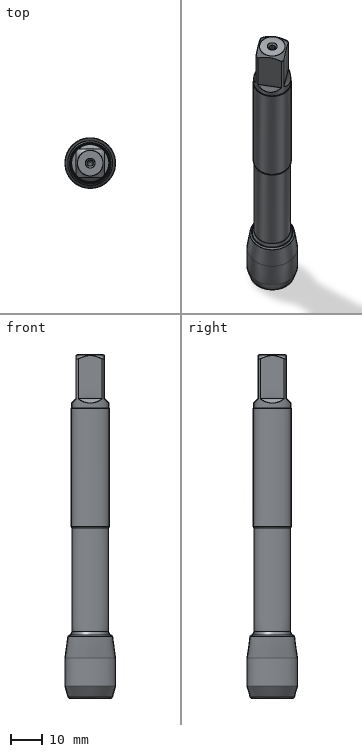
import cadquery as cq

total_length = 110.0

head_radius = 16.17 / 2
head_length = 20.3
nose_radius = 6.5
nose_rim_radius = 7.1
nose_rim_height = 0.5
land_bottom = 4.0
land_top = 13.0
back_rim_radius = 7.15
back_rim_height = 19.9
back_face_radius = 6.6

root_radius = 6.4
neck_radius = 11.7 / 2
neck_bottom = 21.4
guide_radius = 12.19 / 2
guide_bottom = 54.5
guide_chamfer_length = 0.6
guide_top = 92.75
drive_radius = 11.89 / 2

square_width = 9.1
flat_bottom = 95.9
flat_runout = drive_radius - square_width / 2
tip_radius = 4.1
tip_chamfer_length = 1.4

centre_hole_radius = 2.0 / 2
centre_hole_depth = 4.0
countersink_radius = 1.55


def make_head():
    """Revolved working head with a lead taper and a tapered, chamfered back."""
    profile = (
        cq.Workplane("XZ")
        .lineTo(nose_radius, 0)
        .lineTo(nose_rim_radius, nose_rim_height)
        .lineTo(head_radius, land_bottom)
        .lineTo(head_radius, land_top)
        .lineTo(back_rim_radius, back_rim_height)
        .lineTo(back_face_radius, head_length)
        .lineTo(0, head_length)
        .close()
    )
    return profile.revolve(360, (0, 0, 0), (0, 1, 0))


def make_shank_blank():
    """Revolved shank from the back of the head up to the drive tip."""
    chamfer_inner_top = guide_top + guide_radius - drive_radius
    profile = (
        cq.Workplane("XZ")
        .moveTo(0, head_length)
        .lineTo(root_radius, head_length)
        .lineTo(neck_radius, neck_bottom)
        .lineTo(neck_radius, guide_bottom)
        .lineTo(guide_radius, guide_bottom + guide_chamfer_length)
        .lineTo(guide_radius, guide_top)
        .lineTo(drive_radius, chamfer_inner_top)
        .lineTo(drive_radius, total_length - tip_chamfer_length)
        .lineTo(tip_radius, total_length)
        .lineTo(0, total_length)
        .close()
    )
    return profile.revolve(360, (0, 0, 0), (0, 1, 0))


def make_flat_cutter():
    """Block that cuts one flat of the square, ending in a 45 degree run-out."""
    flat = square_width / 2
    outside = 2 * drive_radius
    return (
        cq.Workplane("XZ")
        .moveTo(flat, total_length)
        .lineTo(flat, flat_bottom)
        .lineTo(flat + flat_runout, flat_bottom - flat_runout)
        .lineTo(outside, flat_bottom - flat_runout)
        .lineTo(outside, total_length)
        .close()
        .extrude(drive_radius, both=True)
    )


def make_shank():
    """Shank with its driving square and countersunk centre hole."""
    shank = make_shank_blank()
    for quarter in range(4):
        shank = shank.cut(make_flat_cutter().rotate((0, 0, 0), (0, 0, 1), 90 * quarter))

    countersink_depth = countersink_radius - centre_hole_radius
    centre_hole = (
        cq.Workplane("XZ")
        .moveTo(0, total_length)
        .lineTo(countersink_radius, total_length)
        .lineTo(centre_hole_radius, total_length - countersink_depth)
        .lineTo(centre_hole_radius, total_length - centre_hole_depth)
        .lineTo(0, total_length - centre_hole_depth - centre_hole_radius)
        .close()
        .revolve(360, (0, 0, 0), (0, 1, 0))
    )
    return shank.cut(centre_hole)


head = make_head()
shank = make_shank()

result = cq.Compound.makeCompound([head.val(), shank.val()])